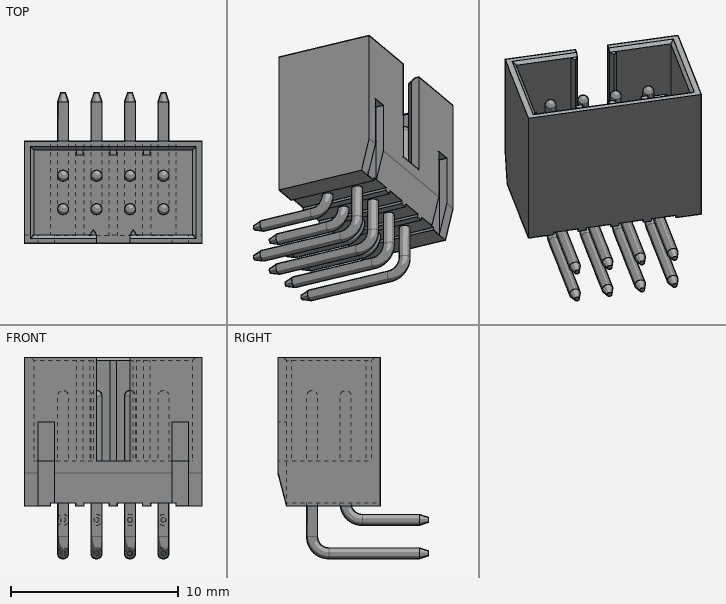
import cadquery as cq


overall_height = 12.03
housing_width = 10.6
housing_depth = 6.11
housing_height = 8.88
side_wall = 0.57
front_wall = 0.5
back_wall = 0.53
floor_top = 2.68
taper_depth = 0.52
taper_height = 1.97

lead_in_width = 0.2
lead_in_height = 0.18

pin_pitch = 2.0
pins_per_row = 4
pin_diameter = 0.66
pin_radius = pin_diameter / 2
front_row_y = 2.05
back_row_y = front_row_y + pin_pitch
pin_top = 6.89
bend_radius = 1.0
tail_end_y = 9.0
front_tail_drop = overall_height - housing_height - pin_radius
back_tail_drop = front_tail_drop - pin_pitch
tail_tip_length = 0.55
tail_tip_diameter = 0.29

notch_width = 1.97
window_width = 1.01
window_edge = 0.79
window_top = 5.0
vent_width = 1.49
vent_height = 0.17

rib_width = 0.41
rib_depth = 0.31
rib_count = 3
key_width = 0.41
key_depth = 0.31

cavity_width = housing_width - 2 * side_wall
cavity_back_y = housing_depth - back_wall
cavity_depth = cavity_back_y - front_wall
rib_height = housing_height - lead_in_height - floor_top


def block(width, depth, height, x_centre, y_front, z_bottom):
    """Box centred on x_centre that rises from z_bottom and runs back from y_front."""
    box = cq.Workplane("XY").box(width, depth, height, centered=(True, False, False))
    return box.translate((x_centre, y_front, z_bottom))


def row_positions(count):
    """X positions of evenly pitched features centred on the housing."""
    return [(i - (count - 1) / 2) * pin_pitch for i in range(count)]


def make_shell():
    """Housing with its tapered front foot and open cavity."""
    side_outline = [
        (taper_depth, 0),
        (housing_depth, 0),
        (housing_depth, housing_height),
        (0, housing_height),
        (0, taper_height),
    ]
    shell = cq.Workplane("YZ").polyline(side_outline).close().extrude(housing_width / 2, both=True)
    cavity = block(cavity_width, cavity_depth, housing_height - floor_top, 0, front_wall, floor_top)
    lead_in = (
        cq.Workplane("XY", origin=(0, front_wall + cavity_depth / 2, housing_height - lead_in_height))
        .rect(cavity_width, cavity_depth)
        .workplane(offset=lead_in_height)
        .rect(cavity_width + 2 * lead_in_width, cavity_depth + 2 * lead_in_width)
        .loft()
    )
    return shell.cut(cavity).cut(lead_in)


def cut_openings(body):
    """Polarising notch, two front windows and the vents under the pins."""
    body = body.cut(block(notch_width, front_wall, housing_height - floor_top, 0, 0, floor_top))
    window_x = housing_width / 2 - window_edge - window_width / 2
    for x in (-window_x, window_x):
        body = body.cut(block(window_width, front_wall, window_top, x, 0, 0))
    for x in row_positions(pins_per_row):
        body = body.cut(block(vent_width, housing_depth, vent_height, x, 0, 0))
    return body


def add_ribs(body):
    """Square ribs on the back wall and triangular ribs beside the notch."""
    for x in row_positions(rib_count):
        body = body.union(block(rib_width, rib_depth, rib_height, x, cavity_back_y - rib_depth, floor_top))
    for side in (-1, 1):
        inner_x = side * notch_width / 2
        key_outline = [
            (inner_x, front_wall),
            (inner_x + side * key_width / 2, front_wall + key_depth),
            (inner_x + side * key_width, front_wall),
        ]
        key = cq.Workplane("XY", origin=(0, 0, floor_top)).polyline(key_outline).close().extrude(rib_height)
        body = body.union(key)
    return body


def make_pin(x, row_y, tail_drop):
    """Round pin with a domed top, a right-angle bend and a tapered tail tip."""
    bend_top = bend_radius - tail_drop
    dome_centre_z = pin_top - pin_radius
    taper_start_y = tail_end_y - tail_tip_length
    path = (
        cq.Workplane("YZ", origin=(x, 0, 0))
        .moveTo(row_y, dome_centre_z)
        .lineTo(row_y, bend_top)
        .radiusArc((row_y + bend_radius, -tail_drop), -bend_radius)
        .lineTo(taper_start_y, -tail_drop)
    )
    shaft = cq.Workplane("XY", origin=(x, row_y, dome_centre_z)).circle(pin_radius).sweep(path)
    dome = cq.Workplane("XY").sphere(pin_radius).translate((x, row_y, dome_centre_z))
    tip = (
        cq.Workplane("XZ", origin=(x, taper_start_y, -tail_drop))
        .circle(pin_radius)
        .workplane(offset=-tail_tip_length)
        .circle(tail_tip_diameter / 2)
        .loft()
    )
    return shaft.union(dome).union(tip)


result = add_ribs(cut_openings(make_shell()))
for pin_x in row_positions(pins_per_row):
    result = result.union(make_pin(pin_x, front_row_y, front_tail_drop))
    result = result.union(make_pin(pin_x, back_row_y, back_tail_drop))